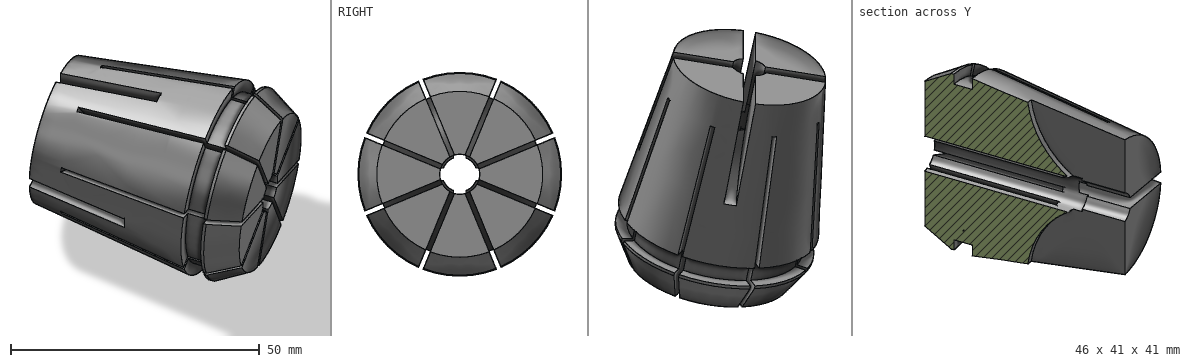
import math

import cadquery as cq


length = 46.0
taper_length = 34.9
taper_half_angle = 8.0
max_radius = 20.5
groove_radius = 18.0
groove_width = 4.2
head_radius = 20.3
head_land_width = 0.65
head_half_angle = 30.0

lip_bore_radius = 3.5
bore_radius = 4.0
lip_length = 10.0

blade_radius = 20.45
blade_offset = 21.4

rear_slot_width = 2.5
rear_slot_count = 4
rear_blade_reach = 22.05

head_slit_width = 1.0
head_slit_count = 8
head_slit_first_angle = 180.0 / head_slit_count
head_blade_reach = 6.2

cut_outer_radius = max_radius + 1.0

rear_radius = max_radius - taper_length * math.tan(math.radians(taper_half_angle))
head_start = taper_length + groove_width
head_cone_start = head_start + head_land_width
head_face_radius = head_radius - (length - head_cone_start) * math.tan(math.radians(head_half_angle))


def make_body():
    """Rear cone, nut groove and head, revolved about X."""
    half_section = (
        cq.Workplane("XY")
        .moveTo(0, 0)
        .lineTo(0, rear_radius)
        .lineTo(taper_length, max_radius)
        .lineTo(taper_length, groove_radius)
        .lineTo(head_start, groove_radius)
        .lineTo(head_start, head_radius)
        .lineTo(head_cone_start, head_radius)
        .lineTo(length, head_face_radius)
        .lineTo(length, 0)
        .close()
    )
    return half_section.revolve(360, (0, 0, 0), (1, 0, 0))


def make_bore():
    """Stepped bore through the full length."""
    lip_bore = cq.Workplane("YZ").circle(lip_bore_radius).extrude(lip_length)
    main_bore = (
        cq.Workplane("YZ")
        .workplane(offset=lip_length)
        .circle(bore_radius)
        .extrude(length - lip_length)
    )
    return lip_bore.union(main_bore)


def make_saw_cut(open_end, blade_reach, width):
    """Radial cut toward +Z, open at x = open_end, with its floor arc reaching x = blade_reach."""
    direction = math.copysign(1, blade_reach - open_end)
    blade_center = blade_reach - direction * blade_radius

    def floor_x(radius):
        return blade_center + direction * math.sqrt(blade_radius**2 - (blade_offset - radius) ** 2)

    inner_radius = lip_bore_radius / 2
    middle_radius = (inner_radius + cut_outer_radius) / 2
    profile = (
        cq.Workplane("XZ")
        .moveTo(open_end, inner_radius)
        .lineTo(floor_x(inner_radius), inner_radius)
        .threePointArc(
            (floor_x(middle_radius), middle_radius),
            (floor_x(cut_outer_radius), cut_outer_radius),
        )
        .lineTo(open_end, cut_outer_radius)
        .close()
    )
    return profile.extrude(width / 2, both=True)


def cut_around_axis(body, cutter, count, first_angle):
    """Cut equally spaced copies of the cutter about the collet axis."""
    for index in range(count):
        angle = first_angle + index * 360.0 / count
        body = body.cut(cutter.rotate((0, 0, 0), (1, 0, 0), angle))
    return body


rear_slot = make_saw_cut(0, rear_blade_reach, rear_slot_width)
head_slit = make_saw_cut(length, head_blade_reach, head_slit_width)

collet = make_body().cut(make_bore())
collet = cut_around_axis(collet, rear_slot, rear_slot_count, 0)
result = cut_around_axis(collet, head_slit, head_slit_count, head_slit_first_angle)